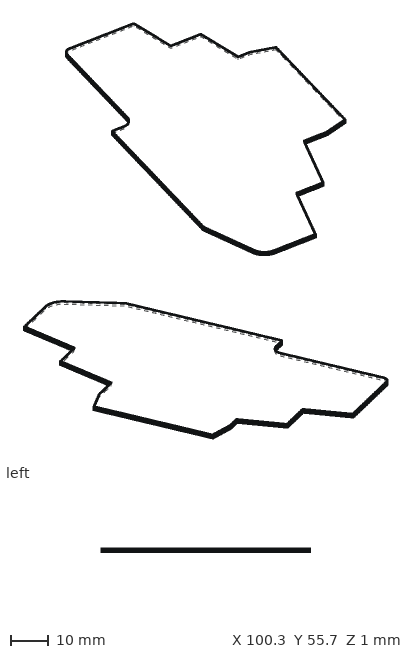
import cadquery as cq
import math

length = 100.3
width = 55.7
total_thickness = 1.0
plate_thickness = total_thickness / 2
top_chamfer = 0.1

left_x = -length / 2
right_x = length / 2
back_y = width / 2
front_y = -width / 2

shoulder_angle = 15.0
shoulder_slope = math.tan(math.radians(shoulder_angle))

head_left_x = -23.8
head_right_x = 15.4
head_taper_depth = 6.9
head_taper_inset = head_taper_depth * shoulder_slope
head_taper_y = back_y - head_taper_depth

left_step_x = -37.0
right_step_x = 32.9
left_upper_shoulder_y = 17.1
left_lower_shoulder_y = 4.2
right_upper_shoulder_y = 13.8
right_lower_shoulder_y = 0.8

recess_y = -21.4
recess_end_x = -14.9
bevel_start_x = 32.0
bevel_angle = 23.0
bevel_end_y = front_y + (right_x - bevel_start_x) * math.tan(math.radians(bevel_angle))

left_corner_radius = 2.0
recess_corner_radius = 2.5
foot_corner_radius = 0.5
bevel_start_radius = 2.0
bevel_end_radius = 5.2


def drop(run):
    """Fall of a shoulder over a horizontal run."""
    return run * shoulder_slope


def round_corner(plate, x, y, radius):
    """Round the vertical edge nearest to (x, y)."""
    corner = cq.selectors.NearestToPointSelector((x, y, 0))
    return plate.edges("|Z").edges(corner).fillet(radius)


def make_plate(base_z):
    """Flat plate with the stepped outline, standing on base_z."""
    outline = [
        (head_left_x + head_taper_inset, back_y),
        (head_right_x - head_taper_inset, back_y),
        (head_right_x, head_taper_y),
        (head_right_x, right_upper_shoulder_y),
        (right_step_x, right_upper_shoulder_y - drop(right_step_x - head_right_x)),
        (right_step_x, right_lower_shoulder_y),
        (right_x, right_lower_shoulder_y - drop(right_x - right_step_x)),
        (right_x, bevel_end_y),
        (bevel_start_x, front_y),
        (recess_end_x, front_y),
        (recess_end_x, recess_y),
        (left_x, recess_y),
        (left_x, left_lower_shoulder_y - drop(left_step_x - left_x)),
        (left_step_x, left_lower_shoulder_y),
        (left_step_x, left_upper_shoulder_y - drop(head_left_x - left_step_x)),
        (head_left_x, left_upper_shoulder_y),
        (head_left_x, head_taper_y),
    ]
    plate = cq.Workplane("XY").workplane(offset=base_z).polyline(outline).close().extrude(plate_thickness)
    plate = round_corner(plate, left_x, recess_y, left_corner_radius)
    plate = round_corner(plate, recess_end_x, recess_y, recess_corner_radius)
    plate = round_corner(plate, recess_end_x, front_y, foot_corner_radius)
    plate = round_corner(plate, bevel_start_x, front_y, bevel_start_radius)
    return round_corner(plate, right_x, bevel_end_y, bevel_end_radius)


lower_plate = make_plate(-plate_thickness)
upper_plate = make_plate(0).faces(">Z").chamfer(top_chamfer)

result = cq.Compound.makeCompound([lower_plate.val(), upper_plate.val()])